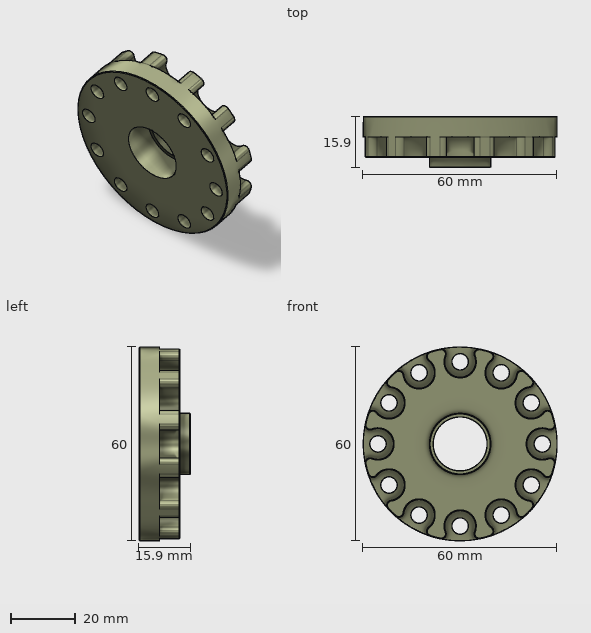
import math

import cadquery as cq

disk_radius = 30.0
disk_thickness = 6.35
tooth_height = 6.35
hub_height = 3.175
edge_chamfer = 0.25

hub_radius = 19.05 / 2
bore_radius = 16.6 / 2
bore_length = 6.35
counterbore_radius = hub_radius

pocket_count = 12
bolt_circle_radius = 25.4
bolt_hole_radius = 5.0 / 2
pocket_radius = 4.76
tooth_tip_radius = disk_radius
tooth_corner_radius = 1.5875

tooth_face_height = disk_thickness + tooth_height
hub_face_height = tooth_face_height + hub_height


def plane_at(height):
    """XZ plane at the given height above the plain face; its normal points to -Y."""
    return cq.Workplane("XZ", origin=(0, -height, 0))


def make_disk():
    disk = plane_at(0).circle(disk_radius).extrude(disk_thickness)
    return disk.faces(">Y").chamfer(edge_chamfer)


def make_pocket():
    """Keyhole cutter opening toward +Z, flaring tangentially round the tooth corners."""
    corner_to_pocket = pocket_radius + tooth_corner_radius
    corner_to_axis = tooth_tip_radius - tooth_corner_radius
    corner_z = (corner_to_axis**2 + bolt_circle_radius**2 - corner_to_pocket**2) / (2 * bolt_circle_radius)
    corner_x = math.sqrt(corner_to_axis**2 - corner_z**2)

    pocket_share = pocket_radius / corner_to_pocket
    wall_x = corner_x * pocket_share
    wall_z = bolt_circle_radius + (corner_z - bolt_circle_radius) * pocket_share
    tip_scale = tooth_tip_radius / corner_to_axis
    tip_x = corner_x * tip_scale
    tip_z = corner_z * tip_scale

    wall_angle = math.atan2(wall_z - corner_z, wall_x - corner_x) % (2 * math.pi)
    tip_angle = math.atan2(tip_z - corner_z, tip_x - corner_x)
    middle_angle = (wall_angle + tip_angle) / 2
    middle_x = corner_x + tooth_corner_radius * math.cos(middle_angle)
    middle_z = corner_z + tooth_corner_radius * math.sin(middle_angle)

    return (
        plane_at(disk_thickness)
        .moveTo(wall_x, wall_z)
        .threePointArc((middle_x, middle_z), (tip_x, tip_z))
        .threePointArc((0, tooth_tip_radius), (-tip_x, tip_z))
        .threePointArc((-middle_x, middle_z), (-wall_x, wall_z))
        .threePointArc((0, bolt_circle_radius - pocket_radius), (wall_x, wall_z))
        .close()
        .extrude(tooth_height)
    )


def make_toothed_ring():
    ring = plane_at(disk_thickness).circle(tooth_tip_radius).extrude(tooth_height)
    pocket = make_pocket()
    for index in range(pocket_count):
        angle = index * 360 / pocket_count
        ring = ring.cut(pocket.rotate((0, 0, 0), (0, 1, 0), angle))
    return ring.faces("<Y").chamfer(edge_chamfer)


def make_hub():
    hub = plane_at(tooth_face_height).circle(hub_radius).extrude(hub_height)
    return hub.faces("<Y").chamfer(edge_chamfer)


def make_holes():
    """Bore, its counterbore open at the plain face, and the ring of bolt holes."""
    bore = plane_at(0).circle(bore_radius).extrude(hub_face_height)
    bolt_holes = (
        plane_at(0)
        .polarArray(bolt_circle_radius, 0, 360, pocket_count)
        .circle(bolt_hole_radius)
        .extrude(disk_thickness)
    )
    counterbore = plane_at(0).circle(counterbore_radius).extrude(hub_face_height - bore_length)
    return bore.union(counterbore).union(bolt_holes)


result = make_disk().union(make_toothed_ring()).union(make_hub()).cut(make_holes()).clean()